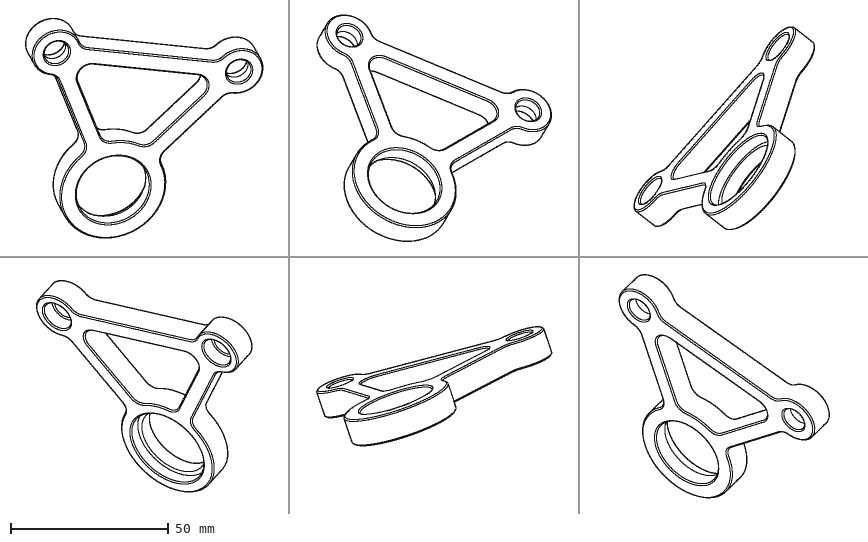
import cadquery as cq
import math

thickness = 9.0
edge_chamfer = 0.5
mouth_angle = 45
arm_width = 5.6
fillet_radius = 4.0
window_corner_radius = 4.3

large_boss_radius = 17.5
large_hole_diameter = 24.1
large_seat_diameter = 27.1
large_seat_depth = 4.0

small_boss_radius = 8.0
small_hole_diameter = 8.1
small_seat_diameter = 10.1
small_seat_depth = 5.0

large_center = (0.0, 0.0)
left_center = (41.5, 36.9)
right_center = (-18.6, 52.2)
small_centers = [left_center, right_center]
triangle_centers = [large_center, right_center, left_center]


def disc(center, radius, depth):
    """Cylinder along X, starting on the bearing-seat face at X = 0."""
    return cq.Workplane("YZ").center(*center).circle(radius).extrude(depth)


def arm_ends_at(center, radius, outward=1):
    """Points where the outer (outward=1) or inner (outward=-1) arm edges run into a boss."""
    half_width = arm_width / 2
    along = math.sqrt(radius**2 - half_width**2)
    neighbors = [other for other in triangle_centers if other != center]
    points = []
    for other in neighbors:
        length = math.dist(center, other)
        uy = (other[0] - center[0]) / length
        uz = (other[1] - center[1]) / length
        third = [corner for corner in neighbors if corner != other][0]
        cross = uy * (third[1] - center[1]) - uz * (third[0] - center[0])
        side = -outward * math.copysign(half_width, cross)
        points.append((center[0] + along * uy - side * uz, center[1] + along * uz + side * uy))
    return points


def fillet_junctions(body, junctions):
    """Round the X-parallel edges lying at the given YZ points."""
    for y, z in junctions:
        nearest = cq.selectors.NearestToPointSelector((thickness / 2, y, z))
        body = body.edges("|X").edges(nearest).fillet(fillet_radius)
    return body


def outer_body():
    """Solid triangle with its three bosses and filleted outer junctions."""
    body = cq.Workplane("YZ").polyline(triangle_centers).close().extrude(thickness)
    for index, start in enumerate(triangle_centers):
        end = triangle_centers[index - 1]
        length = math.dist(start, end)
        angle = math.degrees(math.atan2(end[1] - start[1], end[0] - start[0]))
        arm = cq.Workplane("XY").box(thickness, length, arm_width, centered=(False, False, True))
        arm = arm.rotate((0, 0, 0), (1, 0, 0), angle).translate((0, *start))
        body = body.union(arm)
    body = body.union(disc(large_center, large_boss_radius, thickness))
    for center in small_centers:
        body = body.union(disc(center, small_boss_radius, thickness))

    junctions = arm_ends_at(large_center, large_boss_radius)
    for center in small_centers:
        junctions += arm_ends_at(center, small_boss_radius)
    return fillet_junctions(body, junctions)


def window():
    """Rounded triangular opening, cut back along the rim of the large boss."""
    outline = cq.Workplane("YZ").polyline(triangle_centers).close()
    opening = outline.offset2D(-arm_width / 2, "intersection").extrude(thickness)
    small_corners = opening.edges("|X").edges("not(<Z)")
    opening = small_corners.fillet(window_corner_radius)
    opening = opening.cut(disc(large_center, large_boss_radius, thickness))
    return fillet_junctions(opening, arm_ends_at(large_center, large_boss_radius, outward=-1))


def chamfer_cone(center, hole_radius):
    """Cone that chamfers the mouth of a hole in the face at X = 0."""
    mouth = cq.Workplane("YZ").center(*center).circle(hole_radius + edge_chamfer)
    return mouth.extrude(edge_chamfer, taper=mouth_angle)


def bearing_bore(center, hole_diameter, seat_diameter, seat_depth):
    """Through hole with a stepped bearing seat, chamfered at both faces."""
    hole = disc(center, hole_diameter / 2, thickness)
    seat = disc(center, seat_diameter / 2, seat_depth)
    near_mouth = chamfer_cone(center, seat_diameter / 2)
    far_mouth = chamfer_cone(center, hole_diameter / 2).mirror("YZ").translate((thickness, 0, 0))
    return hole.union(seat).union(near_mouth).union(far_mouth)


frame = outer_body().cut(window())
frame = frame.faces("<X or >X").chamfer(edge_chamfer)

result = frame.cut(
    bearing_bore(large_center, large_hole_diameter, large_seat_diameter, large_seat_depth)
)
for small_center in small_centers:
    result = result.cut(
        bearing_bore(small_center, small_hole_diameter, small_seat_diameter, small_seat_depth)
    )